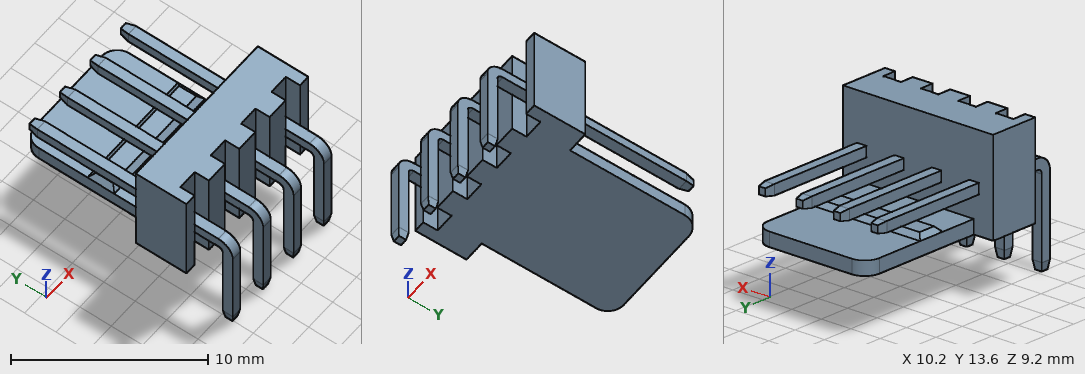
import cadquery as cq

overall_length = 13.62
overall_height = 9.2

pin_count = 4
pin_span = 7.63
pin_pitch = pin_span / (pin_count - 1)
pin_places = [i * pin_pitch - pin_span / 2 for i in range(pin_count)]
inner_pin_places = pin_places[1:-1]
outer_pin_places = [pin_places[0], pin_places[-1]]

block_width = 10.2
block_depth = 3.21
block_height = 5.79
slot_width = 1.2
slot_depth = 0.9

tongue_width = 7.59
tongue_thickness = 0.86
tongue_corner_radius = 1.0
ramp_base_depth = 1.72
ramp_height = 0.31
ramp_slope = 45
ramp_gap = 2.37

pin_size = 0.64
pin_top_drop = 2.87
bend_outer_radius = 0.94
bend_inner_radius = bend_outer_radius - pin_size
contact_length = 7.59
leg_reach = 2.22
tip_length = 0.56
tip_inset = 0.1

pin_center_z = block_height - pin_top_drop - pin_size / 2
pin_end_y = block_depth + contact_length
leg_center_y = -leg_reach + pin_size / 2
leg_end_z = block_height - overall_height
tongue_end_y = overall_length - leg_reach


def make_block():
    """Block with a full-height slot in its front face at each pin."""
    block = cq.Workplane("XY").box(block_width, block_depth, block_height, centered=(True, False, False))
    slots = (
        cq.Workplane("XY")
        .pushPoints([(x, slot_depth / 2) for x in pin_places])
        .rect(slot_width, slot_depth)
        .extrude(block_height)
    )
    return block.cut(slots)


def make_tongue():
    """Flat tongue behind the block, with its two free corners rounded."""
    return (
        cq.Workplane("XY", origin=(0, block_depth, 0))
        .box(tongue_width, tongue_end_y - block_depth, tongue_thickness, centered=(True, False, False))
        .edges("|Z and >Y")
        .fillet(tongue_corner_radius)
    )


def make_ramp():
    """Ridge across the tongue, sloped on all four sides."""
    center_y = block_depth + ramp_gap + ramp_base_depth / 2
    return (
        cq.Workplane("XY", origin=(0, center_y, tongue_thickness))
        .rect(tongue_width, ramp_base_depth)
        .extrude(ramp_height, taper=ramp_slope)
    )


def make_tip(plane):
    """Tapered square pin end that grows along the normal of the plane."""
    tip_size = pin_size - 2 * tip_inset
    return (
        cq.Workplane(plane)
        .rect(pin_size, pin_size)
        .workplane(offset=tip_length)
        .rect(tip_size, tip_size)
        .loft(ruled=True)
    )


def make_pin(x):
    """Square pin bent down by a right angle, tapered at both ends."""
    contact_shoulder_y = pin_end_y - tip_length
    leg_shoulder_z = leg_end_z + tip_length
    pin_top_z = pin_center_z + pin_size / 2
    pin = (
        cq.Workplane("YZ", origin=(x - pin_size / 2, 0, 0))
        .moveTo(contact_shoulder_y, pin_top_z)
        .lineTo(-leg_reach + bend_outer_radius, pin_top_z)
        .radiusArc((-leg_reach, pin_top_z - bend_outer_radius), -bend_outer_radius)
        .lineTo(-leg_reach, leg_shoulder_z)
        .lineTo(-leg_reach + pin_size, leg_shoulder_z)
        .lineTo(-leg_reach + pin_size, pin_top_z - bend_outer_radius)
        .radiusArc((-leg_reach + bend_outer_radius, pin_top_z - pin_size), bend_inner_radius)
        .lineTo(contact_shoulder_y, pin_top_z - pin_size)
        .close()
        .extrude(pin_size)
    )
    contact_tip = make_tip(cq.Plane((x, contact_shoulder_y, pin_center_z), (1, 0, 0), (0, 1, 0)))
    leg_tip = make_tip(cq.Plane((x, leg_center_y, leg_shoulder_z), (1, 0, 0), (0, 0, -1)))
    return pin.union(contact_tip).union(leg_tip)


def make_housing():
    """Block, tongue and ramp in one piece with the inner pins, bored for the outer pins."""
    housing = make_block().union(make_tongue()).union(make_ramp())
    for x in inner_pin_places:
        housing = housing.union(make_pin(x))
    for x in outer_pin_places:
        housing = housing.cut(make_pin(x))
    return housing


housing = make_housing()
outer_pins = [make_pin(x) for x in outer_pin_places]

result = cq.Compound.makeCompound([housing.val(), *[pin.val() for pin in outer_pins]])